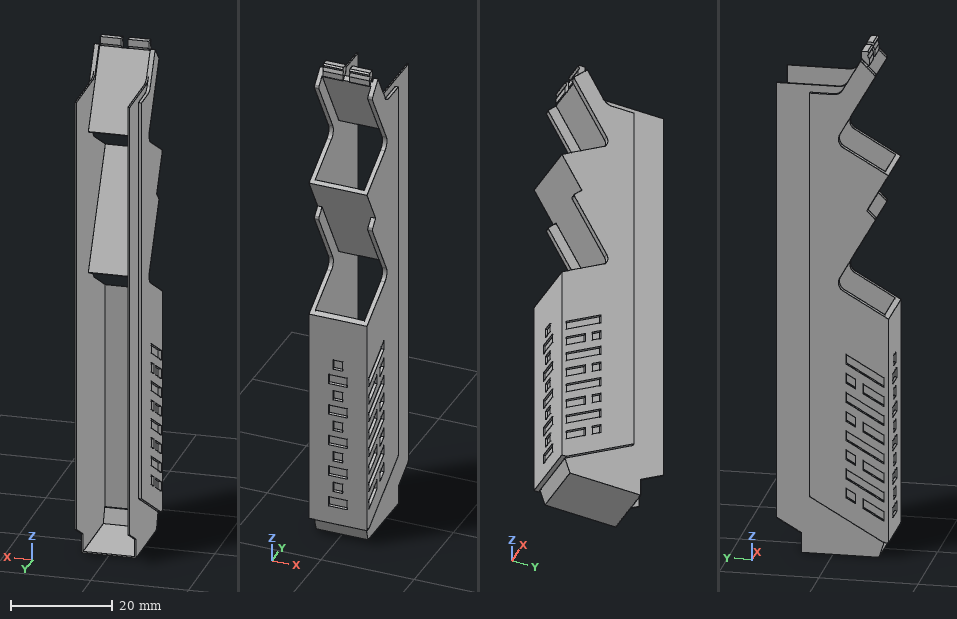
import cadquery as cq
import math


WIDTH = 12.5
DEPTH = 22.76
HEIGHT = 105.49
WALL = 1.0

LEDGE_ANGLE = math.radians(30)
LEDGE_RISE = math.tan(LEDGE_ANGLE)
LEAN_RISE = 1 / LEDGE_RISE

SHELL_DEPTH = 15.95
SHELL_BOTTOM = 3.4
SHELL_TOP = 96.45
LOWER_TIP = 50.2
TOOTH_PITCH = 30.0
TOOTH_COUNT = 2
LIP_DEPTH = 2.6
LIP_RISE = 20.6
BEND_RADIUS = 2.0
LIP_RADIUS = 0.5
UPPER_LIP_BACK = 5.65

INNER_WIDTH = WIDTH - 2 * WALL
TRAY_WIDTH = 11.2
TRAY_WALL = (TRAY_WIDTH - INNER_WIDTH) / 2
TRAY_TOP = 98.0
TRAY_BACK_BOTTOM = 6.95
FOOT_BACK = 17.75
FOOT_FRONT = 2.1

PANEL_DROP = 22.4

TAB_SPAN = 10.0
TAB_GAP = 1.4
TAB_BACK = 5.8
TAB_FRONT = 4.15
TAB_GROOVE = 0.35
TAB_UPPER_CREST_Z = HEIGHT - 0.3
TAB_VALLEY_Z = HEIGHT - 0.85
TAB_LOWER_CREST_Z = HEIGHT - 1.6

SIDE_DEPTH = (WIDTH - TRAY_WIDTH) / 2
FRONT_ROWS = 10
FRONT_PITCH = 3.5
FRONT_TOP = 40.85
FRONT_HEIGHT = 2.1
FRONT_WIDTHS = (2.0, 4.0)
FRONT_DEPTH = 0.4
FRONT_SILL = 0.2
SIDE_ROWS = 8
SIDE_PITCH = 4.0
SIDE_HEIGHT = 2.0
SIDE_TOP = 42.3
SIDE_BACK = 8.65
SIDE_FRONT = 1.0
SIDE_SPLIT_BACK = 6.7
SIDE_SPLIT_FRONT = 5.2


def prism(points, x_start, x_end):
    """Extrude a (Y, Z) outline from x_start to x_end."""
    return cq.Workplane("YZ", origin=(x_start, 0, 0)).polyline(points).close().extrude(x_end - x_start)


def lip_z(depth, tip):
    """Height of the 45 degree lip above the tooth whose tip is at the given height."""
    return tip + LIP_RISE + depth - LIP_DEPTH


def notch_corner(tip):
    """Where the ledge behind a tooth tip meets the leaning edge under the next lip."""
    lean_at_front = tip + LIP_RISE + LIP_DEPTH * LEAN_RISE
    depth = (lean_at_front - tip) / (LEDGE_RISE + LEAN_RISE)
    return (depth, tip + depth * LEDGE_RISE)


def lip_point(tip):
    return (LIP_DEPTH, tip + LIP_RISE)


def lip_back(tip):
    """Rear end of a lip, where it meets the leaning face of the next tooth."""
    next_tip = tip + TOOTH_PITCH
    lip_at_front = lip_z(0, tip)
    depth = (next_tip - lip_at_front) / (1 + LEAN_RISE)
    return (depth, lip_z(depth, tip))


TIPS = [LOWER_TIP + i * TOOTH_PITCH for i in range(TOOTH_COUNT)]
TOP_TIP = TIPS[-1]
LIP_BACK_Z = lip_z(UPPER_LIP_BACK, TOP_TIP)


def arm_back_depth(z):
    """Depth of the leaning rear edge of the top arm at height z."""
    return UPPER_LIP_BACK + (LIP_BACK_Z - z) / LEAN_RISE


def shell_outline():
    points = [(0, SHELL_BOTTOM)]
    for tip in TIPS:
        points += [(0, tip), notch_corner(tip), lip_point(tip)]
        if tip != TOP_TIP:
            points.append(lip_back(tip))
    points += [
        (UPPER_LIP_BACK, LIP_BACK_Z),
        (arm_back_depth(SHELL_TOP), SHELL_TOP),
        (SHELL_DEPTH, SHELL_TOP),
        (SHELL_DEPTH, SHELL_BOTTOM + (SHELL_DEPTH - WALL) * LEDGE_RISE),
        (WALL, SHELL_BOTTOM),
    ]
    return points


def tray_outline():
    return [
        (FOOT_FRONT, 0),
        (WALL, SHELL_BOTTOM),
        (SHELL_DEPTH, LOWER_TIP),
        notch_corner(TOP_TIP),
        (UPPER_LIP_BACK, LIP_BACK_Z),
        (arm_back_depth(TRAY_TOP), TRAY_TOP),
        (DEPTH, TRAY_TOP),
        (DEPTH, TRAY_BACK_BOTTOM),
        (FOOT_BACK, TRAY_BACK_BOTTOM - (DEPTH - FOOT_BACK) * LEDGE_RISE),
        (FOOT_BACK, 0),
    ]


def round_corners(wall, corners, radius):
    """Fillet the edges of a side wall that run along X through the given (Y, Z) corners."""
    for y, z in corners:
        edge = cq.selectors.NearestToPointSelector((wall.val().Center().x, y, z))
        wall = wall.edges("|X").edges(edge).fillet(radius)
    return wall


def side_walls():
    """Thick shell walls and thin tray plates on both sides."""
    half_inner = INNER_WIDTH / 2
    bends = [notch_corner(tip) for tip in TIPS]
    bends.append((arm_back_depth(SHELL_TOP), SHELL_TOP))
    shell_wall = prism(shell_outline(), -WIDTH / 2, -half_inner)
    shell_wall = round_corners(shell_wall, bends, BEND_RADIUS)
    shell_wall = round_corners(shell_wall, [lip_point(tip) for tip in TIPS], LIP_RADIUS)
    tray_plate = prism(tray_outline(), -TRAY_WIDTH / 2, -half_inner)
    tray_plate = round_corners(tray_plate, [(arm_back_depth(TRAY_TOP), TRAY_TOP)], BEND_RADIUS)
    side = shell_wall.union(tray_plate)
    return side.union(side.mirror("YZ"))


def front_wall():
    points = [
        (0, SHELL_BOTTOM),
        (0, LOWER_TIP),
        (WALL, LOWER_TIP + WALL * LEDGE_RISE),
        (WALL, SHELL_BOTTOM),
    ]
    return prism(points, -WIDTH / 2, WIDTH / 2)


def foot():
    """Floor and sloping toe that close the bottom of the tray."""
    points = [
        (FOOT_FRONT, 0),
        (WALL, SHELL_BOTTOM),
        (WALL + TRAY_WALL, SHELL_BOTTOM),
        (FOOT_FRONT + TRAY_WALL, TRAY_WALL),
        (FOOT_BACK, TRAY_WALL),
        (FOOT_BACK, 0),
    ]
    return prism(points, -TRAY_WIDTH / 2, TRAY_WIDTH / 2)


def panel_outline(upper_tip):
    """Leaning panel, one wall thick, with square-cut ends."""
    back_y = WALL * math.cos(LEDGE_ANGLE)
    back_z = WALL * math.sin(LEDGE_ANGLE)
    low_y = PANEL_DROP / LEAN_RISE
    low_z = upper_tip - PANEL_DROP
    return [(0, upper_tip), (low_y, low_z), (low_y + back_y, low_z + back_z), (back_y, upper_tip + back_z)]


def tooth_panel():
    """Panel under the upper tooth: full width at the tooth, between the walls below it."""
    outline = panel_outline(TOP_TIP)
    step_z = lip_back(LOWER_TIP)[1]
    tooth_box = cq.Workplane("XY").box(WIDTH, DEPTH, HEIGHT, centered=(True, False, False))
    tooth_box = tooth_box.translate((0, 0, step_z))
    tooth = prism(outline, -WIDTH / 2, WIDTH / 2).intersect(tooth_box)
    return prism(outline, -INNER_WIDTH / 2, INNER_WIDTH / 2).union(tooth)


def top_panel():
    """Panel inside the top arm, cut off along the 45 degree lip."""
    panel = prism(panel_outline(TOP_TIP + TOOTH_PITCH), -INNER_WIDTH / 2, INNER_WIDTH / 2)
    above_lip = [
        (-DEPTH, lip_z(-DEPTH, TOP_TIP)),
        (DEPTH, lip_z(DEPTH, TOP_TIP)),
        (-DEPTH, lip_z(DEPTH, TOP_TIP)),
    ]
    return panel.cut(prism(above_lip, -WIDTH, WIDTH))


def tabs():
    """Two ridged snap tabs standing on the top panel."""
    seat_y, seat_z = lip_back(TOP_TIP)
    points = [
        (seat_y, seat_z),
        (TAB_FRONT, seat_z),
        (TAB_FRONT, TAB_LOWER_CREST_Z),
        (TAB_FRONT + TAB_GROOVE, TAB_VALLEY_Z),
        (TAB_FRONT, TAB_UPPER_CREST_Z),
        (TAB_FRONT + TAB_GROOVE, HEIGHT),
        (TAB_BACK, HEIGHT),
        (TAB_BACK, lip_z(TAB_BACK, TOP_TIP)),
    ]
    tab = prism(points, TAB_GAP / 2, TAB_SPAN / 2)
    return tab.union(tab.mirror("YZ"))


def front_recesses():
    """Column of alternating narrow and wide recesses in the front wall."""
    cutters = cq.Workplane("XY")
    for row in range(FRONT_ROWS):
        width = FRONT_WIDTHS[row % len(FRONT_WIDTHS)]
        top = FRONT_TOP - row * FRONT_PITCH
        bottom = top - FRONT_HEIGHT
        points = [(0, top), (FRONT_DEPTH, top), (FRONT_DEPTH, bottom + FRONT_SILL), (0, bottom)]
        cutters = cutters.add(prism(points, -width / 2, width / 2))
    return cutters.combine()


def side_recess(back, front, row):
    """Slanted recess between two depths in the -X side wall."""
    back_top = SIDE_TOP - row * SIDE_PITCH - (SIDE_BACK - back) * LEDGE_RISE
    front_top = back_top - (back - front) * LEDGE_RISE
    points = [
        (back, back_top),
        (front, front_top),
        (front, front_top - SIDE_HEIGHT),
        (back, back_top - SIDE_HEIGHT),
    ]
    return prism(points, -WIDTH / 2, -WIDTH / 2 + SIDE_DEPTH)


def side_recesses():
    """Rows of slanted recesses, alternately whole and split, on both sides."""
    cutters = cq.Workplane("XY")
    for row in range(SIDE_ROWS):
        if row % 2 == 0:
            spans = [(SIDE_BACK, SIDE_FRONT)]
        else:
            spans = [(SIDE_BACK, SIDE_SPLIT_BACK), (SIDE_SPLIT_FRONT, SIDE_FRONT)]
        for back, front in spans:
            recess = side_recess(back, front, row)
            cutters = cutters.add(recess).add(recess.mirror("YZ"))
    return cutters.combine()


body = side_walls().union(front_wall()).union(foot())
body = body.union(tooth_panel()).union(top_panel()).union(tabs())
result = body.cut(front_recesses()).cut(side_recesses())